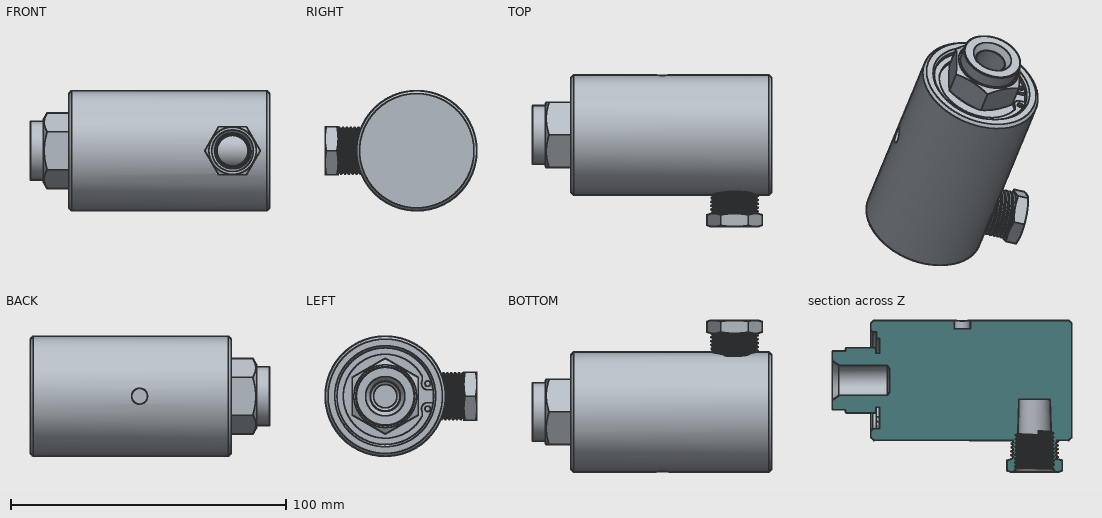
import cadquery as cq
import math


body_dia = 43.7
body_length = 73.025
body_chamfer = 1.08

recess_mouth_dia = 36.7
recess_dia = 35.08
ring_depth = 2.1
ring_thickness = 1.1
recess_depth = ring_depth + ring_thickness
ring_inner_dia = 30.5
lug_hole_dia = 1.98
lug_radius = 2.25
lug_neck_y = -13.5
lug_neck_height = 3.5
lug_offset_y = -15.4
lug_offset_z = 4.58

overall_length = 86.99
nose_dia = 21.43
nose_chamfer = 0.25
nose_length = 4.8
shaft_tip_x = body_length - overall_length
shaft_hex_front_x = shaft_tip_x + nose_length
shaft_hex_flats = 23.81
shaft_hex_face_dia = 22.8
shaft_hex_chamfer_angle = 30
shaft_hex_back_x = 1.9
shaft_neck_dia = 19.84

mouth_dia = 14.29
mouth_end_dia = 11.07
mouth_depth = 2.4
bore_dia = 10.72
bore_depth = 20.0
bore_end_dia = 8.5
bore_cone_length = 0.8

fitting_x = 59.5
overall_width = 55.14
fitting_end_y = body_dia / 2 - overall_width
fitting_hex_flats = 17.46
fitting_hex_height = 4.76
fitting_hex_face_dia = 17.2
fitting_hex_chamfer_angle = 18

thread_pitch = 1.411
thread_flat = 0.12
outer_crest_dia = 17.1
outer_root_dia = 15.5
stem_inner_y = -15.0
inner_crest_dia = 12.9
inner_root_dia = 14.5
inner_thread_length = 13.0
inner_taper = 1 / 16
inner_mouth_dia = 15.1
inner_mouth_depth = 1.6
inner_floor_dia = 13.89
thread_overlap = 0.1
cylinder_angle = 360

back_hole_dia = 5.75
back_hole_depth = 3.0
back_hole_x = 33.3


def x_cylinder(diameter, x_start, x_end):
    """Cylinder on the X axis."""
    return cq.Workplane("YZ", origin=(x_start, 0, 0)).circle(diameter / 2).extrude(x_end - x_start)


def x_cone(start_dia, end_dia, x_start, x_end):
    """Frustum on the X axis."""
    height = x_end - x_start
    return cq.Workplane(cq.Solid.makeCone(
        start_dia / 2, end_dia / 2, height, cq.Vector(x_start, 0, 0), cq.Vector(1, 0, 0)))


def chamfered_hexagon(flats, height, face_dia, chamfer_angle):
    """Hexagon rising along Z, with corners cut by a cone at both ends."""
    corner_radius = flats / math.sqrt(3)
    drop = (corner_radius - face_dia / 2) * math.tan(math.radians(chamfer_angle))
    prism = cq.Workplane("XY").polygon(6, 2 * corner_radius).extrude(height)
    envelope = cq.Workplane("XZ").moveTo(0, 0).lineTo(face_dia / 2, 0).lineTo(corner_radius, drop)
    envelope = envelope.lineTo(corner_radius, height - drop).lineTo(face_dia / 2, height)
    envelope = envelope.lineTo(0, height).close().revolve(360, (0, 0, 0), (0, 1, 0))
    return prism.intersect(envelope)


def thread_ridge(base_dia, tip_dia, length, cone_angle=cylinder_angle):
    """Helical ridge around Z on a cylinder or cone; its base is sunk by a small overlap."""
    base = base_dia / 2
    tip = tip_dia / 2
    sink = math.copysign(thread_overlap, base - tip)
    half_base = (thread_pitch - thread_flat) / 2
    half_tip = thread_flat / 2
    helix = cq.Wire.makeHelix(thread_pitch, length, base, angle=cone_angle)
    profile = cq.Workplane("XZ").polyline([
        (base + sink, -half_base),
        (base + sink, half_base),
        (tip, half_tip),
        (tip, -half_tip),
    ]).close()
    return profile.sweep(cq.Workplane(helix), isFrenet=True)


def onto_fitting_axis(shape, y):
    """Turn a shape built along +Z to run along +Y, starting at y on the fitting axis."""
    return shape.rotate((0, 0, 0), (1, 0, 0), -90).translate((fitting_x, y, 0))


def make_housing():
    """Chamfered cylinder with the front recess and the blind hole."""
    body = x_cylinder(body_dia, 0, body_length).edges().chamfer(body_chamfer)
    mouth_taper = (recess_mouth_dia - recess_dia) / 2
    body = body.cut(x_cylinder(recess_dia, 0, recess_depth))
    body = body.cut(x_cone(recess_mouth_dia, recess_dia, 0, mouth_taper))
    hole = (cq.Workplane("XZ", origin=(back_hole_x, body_dia / 2, 0))
            .circle(back_hole_dia / 2).extrude(back_hole_depth))
    return body.cut(hole)


def make_retaining_ring():
    """Open ring whose ends widen into two lugs with plier holes."""
    ring_plane = cq.Workplane("YZ", origin=(ring_depth, 0, 0))
    disc = ring_plane.circle(recess_dia / 2).extrude(ring_thickness)
    ring = disc.cut(ring_plane.circle(ring_inner_dia / 2).extrude(ring_thickness))
    gap_half_width = lug_offset_z - lug_radius
    gap = (ring_plane.center(-recess_dia / 2, 0)
           .rect(recess_dia, 2 * gap_half_width).extrude(ring_thickness))
    ring = ring.cut(gap)
    lug_centers = [(lug_offset_y, -lug_offset_z), (lug_offset_y, lug_offset_z)]
    lugs = ring_plane.pushPoints(lug_centers).circle(lug_radius).extrude(ring_thickness)
    neck_width = lug_neck_y + recess_dia / 2
    neck_z = lug_offset_z + lug_neck_height / 2
    neck_y = lug_neck_y - neck_width / 2
    neck_centers = [(neck_y, -neck_z), (neck_y, neck_z)]
    lugs = lugs.union(ring_plane.pushPoints(neck_centers)
                      .rect(neck_width, lug_neck_height).extrude(ring_thickness))
    ring = ring.union(lugs.intersect(disc))
    holes = ring_plane.pushPoints(lug_centers).circle(lug_hole_dia / 2).extrude(ring_thickness)
    return ring.cut(holes)


def make_shaft_end():
    """Nose, hexagon and the neck that joins them to the recess floor."""
    nose = x_cylinder(nose_dia, shaft_tip_x, shaft_hex_front_x).faces("<X").edges().chamfer(nose_chamfer)
    hexagon = chamfered_hexagon(
        shaft_hex_flats, shaft_hex_back_x - shaft_hex_front_x,
        shaft_hex_face_dia, shaft_hex_chamfer_angle)
    hexagon = hexagon.rotate((0, 0, 0), (0, 1, 0), 90).translate((shaft_hex_front_x, 0, 0))
    neck = x_cylinder(shaft_neck_dia, shaft_hex_back_x, recess_depth)
    return nose.union(hexagon).union(neck)


def make_shaft_bore():
    """Blind bore with a flared mouth and a conical end."""
    bore_end_x = shaft_tip_x + bore_depth
    bore = x_cylinder(bore_dia, shaft_tip_x, bore_end_x)
    bore = bore.union(x_cone(mouth_dia, mouth_end_dia, shaft_tip_x, shaft_tip_x + mouth_depth))
    return bore.union(x_cone(bore_dia, bore_end_dia, bore_end_x, bore_end_x + bore_cone_length))


def make_fitting():
    """Threaded stem with a hexagonal head."""
    hexagon = chamfered_hexagon(
        fitting_hex_flats, fitting_hex_height,
        fitting_hex_face_dia, fitting_hex_chamfer_angle)
    stem_length = stem_inner_y - fitting_end_y
    stem = cq.Workplane("XY").circle(outer_root_dia / 2).extrude(stem_length)
    ridge_start = fitting_hex_height - thread_pitch / 2
    ridge = thread_ridge(outer_root_dia, outer_crest_dia, stem_length - thread_pitch - ridge_start)
    fitting = stem.union(ridge.translate((0, 0, ridge_start))).union(hexagon)
    return onto_fitting_axis(fitting, fitting_end_y)


def make_fitting_bore():
    """Tapered threaded hole that ends on the round core around the X axis."""
    depth = -fitting_end_y
    end_dia = inner_crest_dia - inner_taper * depth
    bore = cq.Workplane(cq.Solid.makeCone(inner_crest_dia / 2, end_dia / 2, depth))
    cone_angle = -math.degrees(math.atan(inner_taper / 2))
    groove_offset = inner_taper * thread_pitch
    groove = thread_ridge(
        inner_crest_dia - groove_offset, inner_root_dia - groove_offset,
        inner_thread_length, cone_angle).translate((0, 0, thread_pitch))
    bore = bore.union(groove)
    mouth = cq.Workplane(cq.Solid.makeCone(inner_mouth_dia / 2, inner_crest_dia / 2, inner_mouth_depth))
    bore = onto_fitting_axis(bore.union(mouth), fitting_end_y)
    return bore.cut(x_cylinder(inner_floor_dia, 0, body_length))


result = make_housing().union(make_retaining_ring()).union(make_shaft_end()).cut(make_shaft_bore())
result = result.union(make_fitting()).cut(make_fitting_bore())